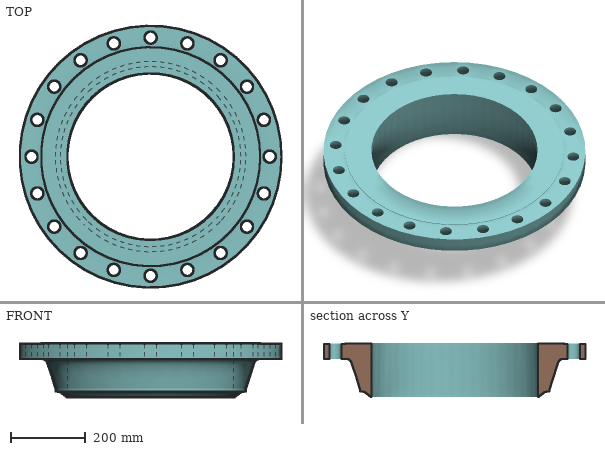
import cadquery as cq
import math

flange_diameter = 698.5
total_height = 144.46
flange_thickness = 42.93
raised_face_diameter = 584.2
raised_face_height = 1.6

bolt_circle_diameter = 635.0
bolt_hole_diameter = 31.75
bolt_hole_count = 20

hub_base_diameter = 558.8
hub_end_diameter = 508.0
hub_end_band_height = 6.35
hub_fillet_radius = 12.7
wall_thickness = 32.54

root_face_width = 1.6
bevel_break_depth = 19.0
inner_bevel_angle = math.radians(37.5)
outer_bevel_angle = math.radians(10)

flange_radius = flange_diameter / 2
raised_face_radius = raised_face_diameter / 2
hub_base_radius = hub_base_diameter / 2
hub_end_radius = hub_end_diameter / 2
bore_radius = hub_end_radius - wall_thickness
root_face_radius = bore_radius + root_face_width
bevel_break_radius = bore_radius + bevel_break_depth

bevel_break_level = (bevel_break_radius - root_face_radius) * math.tan(inner_bevel_angle)
band_bottom = bevel_break_level + (hub_end_radius - bevel_break_radius) * math.tan(outer_bevel_angle)
band_top = band_bottom + hub_end_band_height
flange_bottom = total_height - flange_thickness
flange_top = total_height - raised_face_height


def hub_fillet_points():
    """Return the start, middle and end of the fillet from the hub cone to the flange underside."""
    taper = math.atan2(hub_base_radius - hub_end_radius, flange_bottom - band_top)
    tangent_length = hub_fillet_radius * math.tan((math.pi / 2 - taper) / 2)
    centre_radius = hub_base_radius + tangent_length
    centre_level = flange_bottom - hub_fillet_radius

    def point_at(angle):
        return (
            centre_radius + hub_fillet_radius * math.cos(angle),
            centre_level + hub_fillet_radius * math.sin(angle),
        )

    cone_angle = math.pi - taper
    flange_angle = math.pi / 2
    middle_angle = (cone_angle + flange_angle) / 2
    return point_at(cone_angle), point_at(middle_angle), point_at(flange_angle)


def make_body():
    """Revolve the flange, hub and weld end around the Z axis."""
    fillet_start, fillet_middle, fillet_end = hub_fillet_points()
    return (
        cq.Workplane("XZ")
        .moveTo(bore_radius, 0)
        .lineTo(root_face_radius, 0)
        .lineTo(bevel_break_radius, bevel_break_level)
        .lineTo(hub_end_radius, band_bottom)
        .lineTo(hub_end_radius, band_top)
        .lineTo(*fillet_start)
        .threePointArc(fillet_middle, fillet_end)
        .lineTo(flange_radius, flange_bottom)
        .lineTo(flange_radius, flange_top)
        .lineTo(raised_face_radius, flange_top)
        .lineTo(raised_face_radius, total_height)
        .lineTo(bore_radius, total_height)
        .close()
        .revolve(360, (0, 0, 0), (0, 1, 0))
    )


def make_bolt_holes():
    """Return the ring of bolt hole cutters through the flange."""
    return (
        cq.Workplane("XY")
        .workplane(offset=flange_bottom)
        .polarArray(bolt_circle_diameter / 2, 0, 360, bolt_hole_count)
        .circle(bolt_hole_diameter / 2)
        .extrude(flange_thickness)
    )


result = make_body().cut(make_bolt_holes())